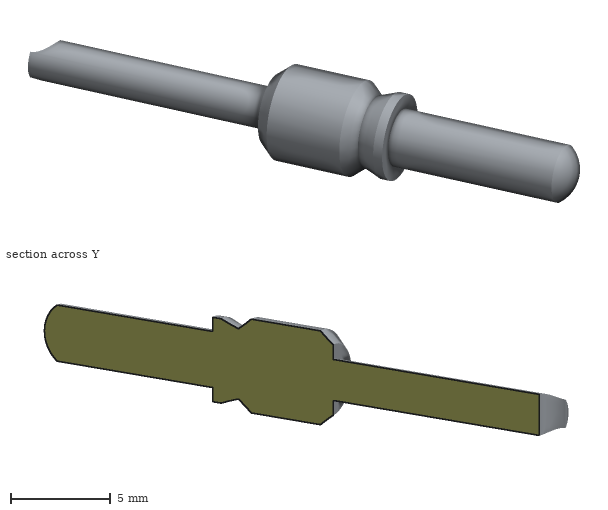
import cadquery as cq

OVERALL_LENGTH = 29.75
TAIL_LENGTH = 13.0
COLLAR_CHAMFER_LENGTH = 0.75
COLLAR_LENGTH = 4.0
NECK_TAPER_LENGTH = 0.75
FLANGE_TAPER_LENGTH = 1.0
FLANGE_LENGTH = 0.5
DOME_HEIGHT = 0.75

TAIL_RADIUS = 1.1
COLLAR_RADIUS = 2.5
COLLAR_FACE_RADIUS = 1.875
NECK_RADIUS = COLLAR_FACE_RADIUS
FLANGE_RADIUS = 2.25
PIN_RADIUS = 1.5

SCOOP_RADIUS = 1.1
SCOOP_CENTER_Y = 0.3

collar_start = TAIL_LENGTH + COLLAR_CHAMFER_LENGTH
collar_end = collar_start + COLLAR_LENGTH
neck_x = collar_end + NECK_TAPER_LENGTH
flange_start = neck_x + FLANGE_TAPER_LENGTH
flange_end = flange_start + FLANGE_LENGTH
dome_start = OVERALL_LENGTH - DOME_HEIGHT

dome_radius = (PIN_RADIUS**2 + DOME_HEIGHT**2) / (2 * DOME_HEIGHT)
dome_mid_x = OVERALL_LENGTH - DOME_HEIGHT / 2
dome_center_x = OVERALL_LENGTH - dome_radius
dome_mid_radius = (dome_radius**2 - (dome_mid_x - dome_center_x) ** 2) ** 0.5


def make_turned_body():
    """Revolve the half profile of tail, collar, neck, flange and domed pin."""
    profile = (
        cq.Workplane("XY")
        .moveTo(0, 0)
        .lineTo(0, TAIL_RADIUS)
        .lineTo(TAIL_LENGTH, TAIL_RADIUS)
        .lineTo(TAIL_LENGTH, COLLAR_FACE_RADIUS)
        .lineTo(collar_start, COLLAR_RADIUS)
        .lineTo(collar_end, COLLAR_RADIUS)
        .lineTo(neck_x, NECK_RADIUS)
        .lineTo(flange_start, FLANGE_RADIUS)
        .lineTo(flange_end, FLANGE_RADIUS)
        .lineTo(flange_end, PIN_RADIUS)
        .lineTo(dome_start, PIN_RADIUS)
        .threePointArc((dome_mid_x, dome_mid_radius), (OVERALL_LENGTH, 0))
        .close()
    )
    return profile.revolve(360, axisStart=(0, 0, 0), axisEnd=(1, 0, 0))


def make_scoop():
    """Cylinder along Z, centred on the tip plane, that hollows the tail tip."""
    return (
        cq.Workplane("XY")
        .center(0, SCOOP_CENTER_Y)
        .circle(SCOOP_RADIUS)
        .extrude(TAIL_RADIUS, both=True)
    )


result = make_turned_body().cut(make_scoop())